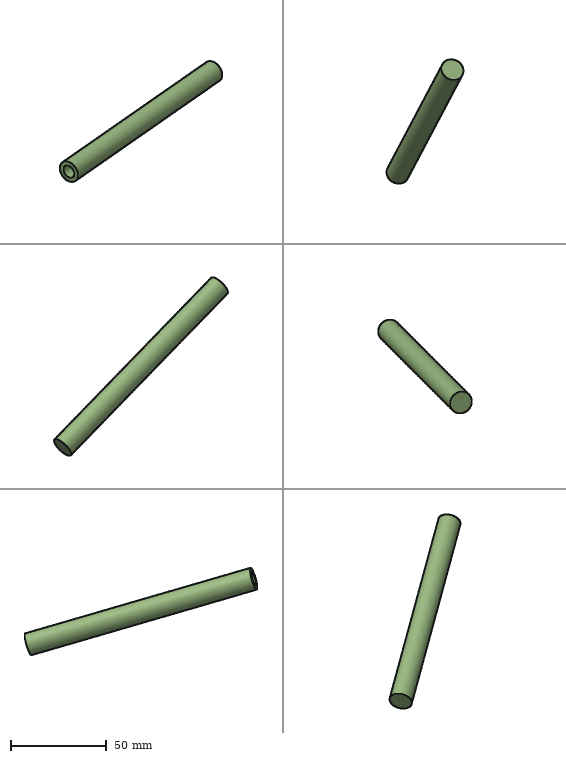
import cadquery as cq
import math

length = 125.0
outer_diameter = 12.0
hole_diameter = 7.0
hole_depth = 25.0
drill_point_angle = 118.0

hole_radius = hole_diameter / 2
point_length = hole_radius / math.tan(math.radians(drill_point_angle / 2))
near_end = -length / 2

rod = (
    cq.Workplane("XZ", origin=(0, near_end, 0))
    .circle(outer_diameter / 2)
    .extrude(-length)
)


def drilled_hole():
    """Blind hole from the -Y end, finishing in a conical drill point."""
    shoulder = near_end + hole_depth
    half_profile = [
        (0, near_end),
        (hole_radius, near_end),
        (hole_radius, shoulder),
        (0, shoulder + point_length),
    ]
    return cq.Workplane("XY").polyline(half_profile).close().revolve(360, (0, 0, 0), (0, 1, 0))


result = rod.cut(drilled_hole())